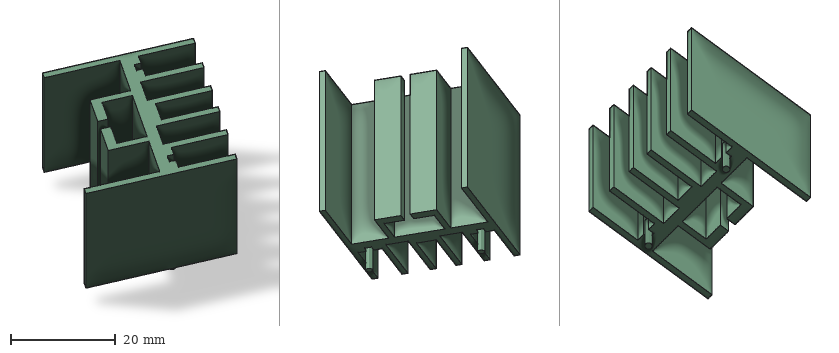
import cadquery as cq

SINK_WIDTH = 30.0
SINK_DEPTH = 30.0
OVERALL_HEIGHT = 34.5
SINK_HEIGHT = 30.0
WALL = 1.2

WEB_THICKNESS = 2.4
PAD_HEIGHT = 1.3
PAD_TOP = WEB_THICKNESS + PAD_HEIGHT
FIN_OUTER_FACES = (3.2, 8.95)

CLIP_WIDTH = 12.6
CLIP_REACH = 8.07
LIP_THICKNESS = 2.07
LIP_GAP = 1.9

PIN_DIAMETER = 1.4
PIN_X = 11.35
PIN_EXPOSED = OVERALL_HEIGHT - SINK_HEIGHT
PIN_INSERTED = PIN_EXPOSED

SIDES = (-1, 1)


def bar(x_start, x_end, y_start, y_end):
    """Full-height bar between two X positions and two Y positions."""
    width = abs(x_end - x_start)
    depth = y_end - y_start
    centre = ((x_start + x_end) / 2, (y_start + y_end) / 2)
    return cq.Workplane("XY").center(*centre).rect(width, depth).extrude(SINK_HEIGHT)


def make_web():
    """Cross web with a raised pad in the middle and one at each end."""
    half_width = SINK_WIDTH / 2
    inner_fin, outer_fin = FIN_OUTER_FACES
    web = bar(-half_width, half_width, 0, WEB_THICKNESS)
    web = web.union(bar(-inner_fin, inner_fin, 0, PAD_TOP))
    for side in SIDES:
        web = web.union(bar(side * (outer_fin - WALL), side * half_width, 0, PAD_TOP))
    return web


def add_plates_and_fins(body):
    """Side plates over the full depth, and fins behind the web."""
    half_width = SINK_WIDTH / 2
    half_depth = SINK_DEPTH / 2
    for side in SIDES:
        body = body.union(bar(side * (half_width - WALL), side * half_width, -half_depth, half_depth))
        for face in FIN_OUTER_FACES:
            body = body.union(bar(side * (face - WALL), side * face, 0, half_depth))
    return body


def add_clip_channel(body):
    """Two L-shaped arms whose lips face each other across a gap."""
    half_width = CLIP_WIDTH / 2
    for side in SIDES:
        body = body.union(bar(side * (half_width - WALL), side * half_width, -CLIP_REACH, 0))
        lip = bar(side * LIP_GAP / 2, side * half_width, -CLIP_REACH, LIP_THICKNESS - CLIP_REACH)
        body = body.union(lip)
    return body


def cut_pin_grooves(body):
    """Square groove along the full height of each outer pad."""
    half_groove = PIN_DIAMETER / 2
    for side in SIDES:
        x = side * PIN_X
        body = body.cut(bar(x - half_groove, x + half_groove, WEB_THICKNESS, PAD_TOP))
    return body


def make_heat_sink():
    body = make_web()
    body = add_plates_and_fins(body)
    body = add_clip_channel(body)
    return cut_pin_grooves(body)


def make_pin(side):
    """Round pin lying against the groove floor and hanging below the heat sink."""
    return (
        cq.Workplane("XY", origin=(side * PIN_X, WEB_THICKNESS + PIN_DIAMETER / 2, -PIN_EXPOSED))
        .circle(PIN_DIAMETER / 2)
        .extrude(PIN_EXPOSED + PIN_INSERTED)
    )


heat_sink = make_heat_sink()
pins = [make_pin(side) for side in SIDES]

result = cq.Compound.makeCompound([heat_sink.val(), *[pin.val() for pin in pins]])